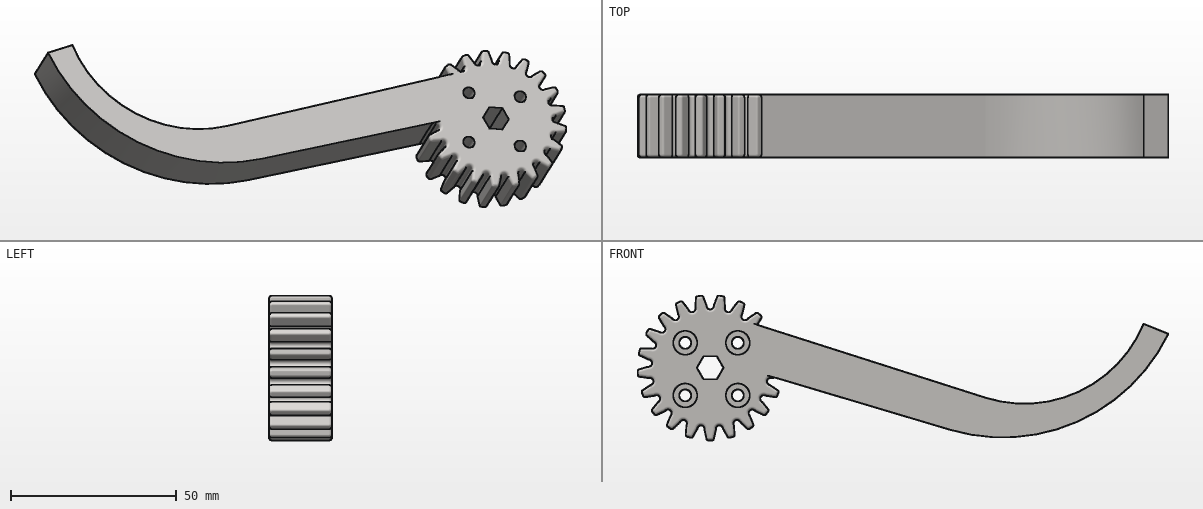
import cadquery as cq
import math

thickness = 19.0
tooth_positions = 21
tooth_pitch = 360 / tooth_positions
first_tooth_angle = -90
empty_position = 7
tip_radius = 22.0
flank_base_radius = 18.8
root_radius = 17.6
tip_half_width = 1.05
base_half_width = 1.8
tip_rounding = 0.6
face_rounding = 1.0

hex_across_flats = 6.9
screw_spacing = 15.9
screw_hole_diameter = 3.5
counterbore_diameter = 7.2
counterbore_depth = thickness / 2
screw_pattern_centre = (0.4, -0.4)

arm_start_x = 12.0
upper_bend_start = (83.0, -9.0)
upper_slope_angle = 17.7
upper_tip = (130.8, 13.3)
lower_bend_start = (72.5, -18.8)
lower_slope_angle = 16.6
lower_tip = (138.4, 10.3)


def polar(radius, angle):
    """Point at a radius and an angle in degrees from +X towards +Z."""
    return (radius * math.cos(math.radians(angle)), radius * math.sin(math.radians(angle)))


def half_angle(half_width, radius):
    """Angle in degrees that a half width covers at a radius."""
    return math.degrees(math.asin(half_width / radius))


def extrude_through(sketch):
    """Extrude an XZ sketch over the full thickness, centred on Y = 0."""
    return sketch.extrude(thickness / 2, both=True)


def tooth_angles():
    """Middle angle of every tooth; one tooth position is left empty under the arm's upper edge."""
    return [
        first_tooth_angle + position * tooth_pitch
        for position in range(tooth_positions)
        if position != empty_position
    ]


def make_gear():
    tip_angle = half_angle(tip_half_width, tip_radius)
    base_angle = half_angle(base_half_width, flank_base_radius)
    angles = tooth_angles()
    next_angles = angles[1:] + [angles[0] + 360]
    outline = cq.Workplane("XZ").moveTo(*polar(flank_base_radius, angles[0] - base_angle))
    for middle, next_middle in zip(angles, next_angles):
        gap_middle = (middle + next_middle) / 2
        outline = (
            outline.lineTo(*polar(tip_radius, middle - tip_angle))
            .threePointArc(polar(tip_radius, middle), polar(tip_radius, middle + tip_angle))
            .lineTo(*polar(flank_base_radius, middle + base_angle))
            .threePointArc(
                polar(root_radius, gap_middle),
                polar(flank_base_radius, next_middle - base_angle),
            )
        )
    gear = extrude_through(outline.close())
    mid_flank_radius = (tip_radius + flank_base_radius) / 2
    tip_corners = gear.edges("|Y").filter(
        lambda edge: math.hypot(edge.Center().x, edge.Center().z) > mid_flank_radius
    )
    return tip_corners.fillet(tip_rounding).faces("<Y or >Y").edges().fillet(face_rounding)


def arm_edge_start(bend_start, slope_angle):
    """Point inside the gear where a straight arm edge begins."""
    rise = (bend_start[0] - arm_start_x) * math.tan(math.radians(slope_angle))
    return (arm_start_x, bend_start[1] + rise)


def bend_middle(bend_start, slope_angle, tip):
    """Middle of the arc that leaves the straight edge tangentially and ends at the tip."""
    run = tip[0] - bend_start[0]
    rise = tip[1] - bend_start[1]
    half_turn = math.atan2(rise, run) + math.radians(slope_angle)
    bulge = math.tan(half_turn / 2) / 2
    return (
        bend_start[0] + run / 2 + bulge * rise,
        bend_start[1] + rise / 2 - bulge * run,
    )


def make_arm():
    outline = (
        cq.Workplane("XZ")
        .moveTo(*arm_edge_start(upper_bend_start, upper_slope_angle))
        .lineTo(*upper_bend_start)
        .threePointArc(bend_middle(upper_bend_start, upper_slope_angle, upper_tip), upper_tip)
        .lineTo(*lower_tip)
        .threePointArc(bend_middle(lower_bend_start, lower_slope_angle, lower_tip), lower_bend_start)
        .lineTo(*arm_edge_start(lower_bend_start, lower_slope_angle))
        .close()
    )
    return extrude_through(outline)


def make_hex_bore():
    across_corners = hex_across_flats / math.cos(math.radians(30))
    return extrude_through(cq.Workplane("XZ").polygon(6, across_corners))


def cut_screw_holes(body):
    """Four through holes, counterbored from the -Y face."""
    centre_x, centre_z = screw_pattern_centre
    return (
        body.faces("<Y")
        .workplane(origin=(centre_x, 0, centre_z))
        .rect(screw_spacing, screw_spacing, forConstruction=True)
        .vertices()
        .cboreHole(screw_hole_diameter, counterbore_diameter, counterbore_depth)
    )


body = make_gear().union(make_arm()).cut(make_hex_bore())
result = cut_screw_holes(body)